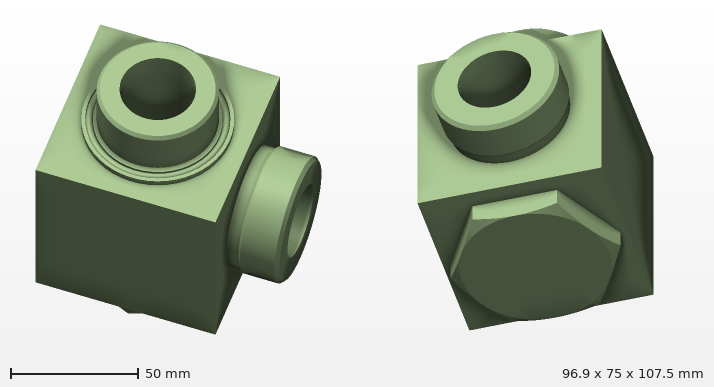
import cadquery as cq
import math

total_height = 107.5
cube_side = 75.0
hex_height = 9.6
cube_top = hex_height + cube_side
port_height = hex_height + cube_side / 2

hex_across_flats = 60.0
hex_corner_diameter = hex_across_flats / math.cos(math.pi / 6)
hex_chamfer_height = 2.6

flange_diameter = 60.0
flange_height = 2.6
flange_top = cube_top + flange_height
groove_outer_diameter = 57.0
groove_inner_diameter = 51.0
groove_depth = 1.5

spigot_diameter = 48.0
spigot_top_chamfer = 1.3
spigot_base_chamfer = 0.9

port_length = 21.9
neck_diameter = 49.6
neck_length = 4.9
collar_diameter = 52.0
collar_inner_chamfer = 1.1
collar_outer_chamfer = 1.5

bore_diameter = 30.0


def make_hex_head():
    """Hexagonal prism whose lower corners are trimmed by a cone."""
    prism = (
        cq.Workplane("XY")
        .polygon(6, hex_corner_diameter)
        .extrude(hex_height)
        .rotate((0, 0, 0), (0, 0, 1), 90)
    )
    corner_radius = hex_corner_diameter / 2
    trim = (
        cq.Workplane("XZ")
        .moveTo(0, 0)
        .lineTo(hex_across_flats / 2, 0)
        .lineTo(corner_radius, hex_chamfer_height)
        .lineTo(corner_radius, hex_height)
        .lineTo(0, hex_height)
        .close()
        .revolve(360, (0, 0, 0), (0, 1, 0))
    )
    return prism.intersect(trim)


def make_sealing_flange():
    """Disc with a ring groove that holds a half-exposed O-ring."""
    disc = (
        cq.Workplane("XY", origin=(0, 0, cube_top))
        .circle(flange_diameter / 2)
        .extrude(flange_height)
    )
    groove = (
        cq.Workplane("XY", origin=(0, 0, flange_top - groove_depth))
        .circle(groove_outer_diameter / 2)
        .circle(groove_inner_diameter / 2)
        .extrude(groove_depth)
    )
    ring_radius = (groove_outer_diameter + groove_inner_diameter) / 4
    cord_radius = (groove_outer_diameter - groove_inner_diameter) / 4
    o_ring = (
        cq.Workplane("XZ")
        .center(ring_radius, flange_top - cord_radius)
        .circle(cord_radius)
        .revolve(360, (-ring_radius, 0, 0), (-ring_radius, 1, 0))
    )
    return disc.cut(groove).union(o_ring)


def make_spigot():
    """Plain cylinder chamfered at both ends."""
    return (
        cq.Workplane("XY", origin=(0, 0, flange_top))
        .circle(spigot_diameter / 2)
        .extrude(total_height - flange_top)
        .faces(">Z")
        .chamfer(spigot_top_chamfer)
        .faces("<Z")
        .chamfer(spigot_base_chamfer)
    )


def make_side_port():
    """Neck and wider collar, centred on the +X face of the cube."""
    neck = (
        cq.Workplane("YZ", origin=(cube_side / 2, 0, port_height))
        .circle(neck_diameter / 2)
        .extrude(neck_length)
    )
    collar = (
        cq.Workplane("YZ", origin=(cube_side / 2 + neck_length, 0, port_height))
        .circle(collar_diameter / 2)
        .extrude(port_length - neck_length)
        .faces(">X")
        .chamfer(collar_outer_chamfer)
        .faces("<X")
        .chamfer(collar_inner_chamfer)
    )
    return neck.union(collar)


def make_elbow_bore():
    """Vertical and horizontal bores joined by a spherical corner."""
    bore_radius = bore_diameter / 2
    corner = cq.Workplane("XY", origin=(0, 0, port_height)).sphere(bore_radius)
    vertical = (
        cq.Workplane("XY", origin=(0, 0, port_height))
        .circle(bore_radius)
        .extrude(total_height - port_height)
    )
    horizontal = (
        cq.Workplane("YZ", origin=(0, 0, port_height))
        .circle(bore_radius)
        .extrude(cube_side / 2 + port_length)
    )
    return corner.union(vertical).union(horizontal)


cube = (
    cq.Workplane("XY", origin=(0, 0, hex_height))
    .rect(cube_side, cube_side)
    .extrude(cube_side)
)

result = (
    cube.union(make_hex_head())
    .union(make_sealing_flange())
    .union(make_spigot())
    .union(make_side_port())
    .cut(make_elbow_bore())
)